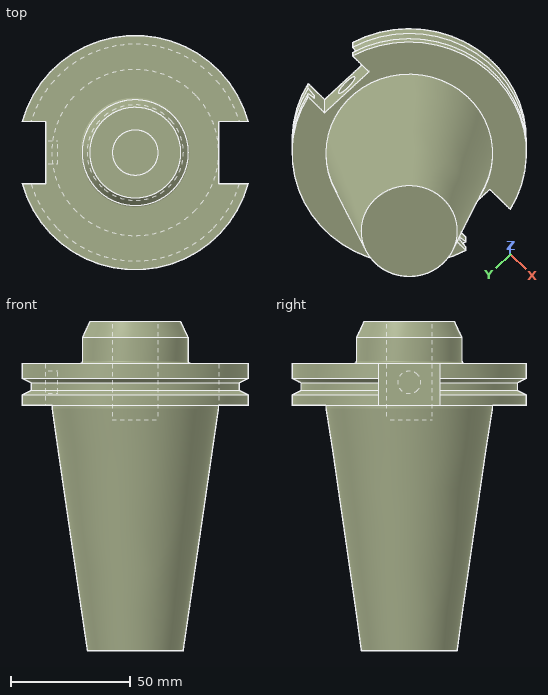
import cadquery as cq

gauge_height = 101.5
flange_bottom = 103.0
gauge_to_flange_top = 19.0
flange_top = gauge_height + gauge_to_flange_top
total_height = 138.2

taper_ratio = 7 / 24
gauge_radius = 35.0
small_end_radius = gauge_radius - gauge_height * taper_ratio / 2

flange_radius = 49.2
groove_radius = 45.6
groove_center_height = 110.8
groove_mouth_width = 6.9
groove_floor_width = 3.2

nose_radius = 22.2
nose_tip_radius = 19.0
nose_bevel_height = 6.8
nose_root_fillet = 0.8

bore_diameter = 19.0
bore_depth = 41.5

slot_width = 26.0
left_slot_floor = 37.6
right_slot_floor = 35.1

side_hole_diameter = 9.5
side_hole_depth = 5.0
side_hole_height = 112.6


def make_body():
    """Revolve the shank, flange and nose about the Z axis."""
    half_mouth = groove_mouth_width / 2
    half_floor = groove_floor_width / 2
    profile = (
        cq.Workplane("XZ")
        .lineTo(small_end_radius, 0)
        .lineTo(gauge_radius, gauge_height)
        .lineTo(gauge_radius, flange_bottom)
        .lineTo(flange_radius, flange_bottom)
        .lineTo(flange_radius, groove_center_height - half_mouth)
        .lineTo(groove_radius, groove_center_height - half_floor)
        .lineTo(groove_radius, groove_center_height + half_floor)
        .lineTo(flange_radius, groove_center_height + half_mouth)
        .lineTo(flange_radius, flange_top)
        .lineTo(nose_radius + nose_root_fillet, flange_top)
        .radiusArc((nose_radius, flange_top + nose_root_fillet), nose_root_fillet)
        .lineTo(nose_radius, total_height - nose_bevel_height)
        .lineTo(nose_tip_radius, total_height)
        .lineTo(0, total_height)
        .close()
    )
    return profile.revolve(360, (0, 0, 0), (0, 1, 0))


def make_bore():
    return (
        cq.Workplane("XY", origin=(0, 0, total_height))
        .circle(bore_diameter / 2)
        .extrude(-bore_depth)
    )


def make_slot(floor_distance, side):
    """Slot through the flange; side is -1 for -X and +1 for +X."""
    slot_length = flange_radius
    slot_center = side * (floor_distance + slot_length / 2)
    return (
        cq.Workplane("XY", origin=(slot_center, 0, flange_bottom))
        .rect(slot_length, slot_width)
        .extrude(flange_top - flange_bottom)
    )


def make_side_hole():
    return (
        cq.Workplane("YZ", origin=(-left_slot_floor, 0, side_hole_height))
        .circle(side_hole_diameter / 2)
        .extrude(side_hole_depth)
    )


result = (
    make_body()
    .cut(make_bore())
    .cut(make_slot(left_slot_floor, -1))
    .cut(make_slot(right_slot_floor, 1))
    .cut(make_side_hole())
)